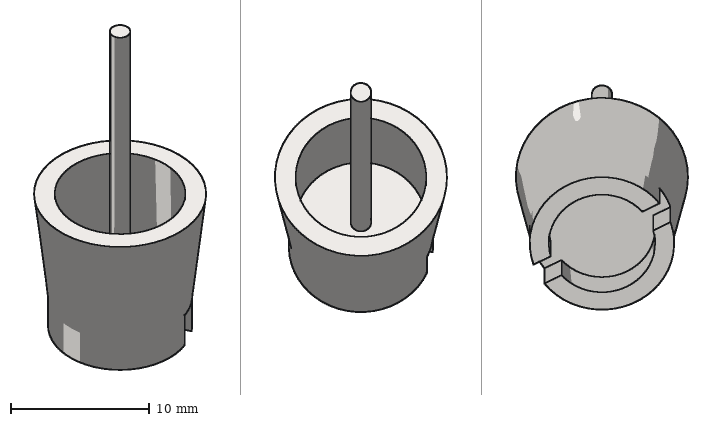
import cadquery as cq

total_height = 27.1
cup_height = 12.15
collar_height = 2.76

rim_diameter = 12.47
collar_diameter = 10.45
recess_diameter = 7.7
bore_diameter = 9.45
pin_diameter = 1.5

slot_width = 1.68

floor_thickness = (rim_diameter - bore_diameter) / 2
bore_floor = collar_height + floor_thickness


def make_cup():
    """Straight collar with a flared body, turned about Z."""
    rim_radius = rim_diameter / 2
    collar_radius = collar_diameter / 2
    return (
        cq.Workplane("XZ")
        .moveTo(0, 0)
        .lineTo(collar_radius, 0)
        .lineTo(collar_radius, collar_height)
        .lineTo(rim_radius, cup_height)
        .lineTo(0, cup_height)
        .close()
        .revolve(360, (0, 0, 0), (0, 1, 0))
    )


def make_cylinder(diameter, bottom, top):
    """Upright cylinder on the Z axis between two heights."""
    return cq.Workplane("XY").workplane(offset=bottom).circle(diameter / 2).extrude(top - bottom)


bore = make_cylinder(bore_diameter, bore_floor, cup_height)

recess = make_cylinder(recess_diameter, 0, collar_height)
slot = cq.Workplane("XY").box(rim_diameter, slot_width, collar_height, centered=(True, True, False))

pin = make_cylinder(pin_diameter, bore_floor, total_height)

result = make_cup().cut(bore).cut(recess).cut(slot).union(pin)